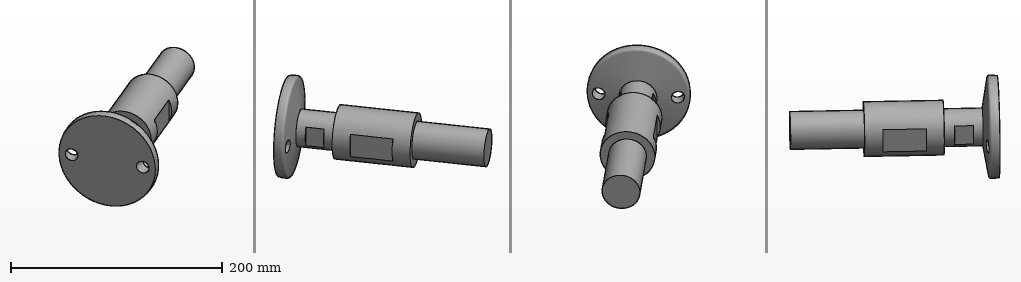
import cadquery as cq
import math

total_length = 197.0
rod_radius = 36.0 / 2
sleeve_radius = 52.0 / 2
foot_radius = 98.0 / 2

taper_height = 4.1
foot_height = 15.0
sleeve_start = 51.8
sleeve_end = 127.3

cone_angle = 10.0
rim_fillet = 2.5
side_taper = 0.5

rod_flat_start = 24.0
rod_flat_length = 17.7
rod_flat_width = 30.0
sleeve_flat_start = 69.0
sleeve_flat_length = 41.0
sleeve_flat_width = 46.0

hole_diameter = 12.5
hole_offset = 35.7
hole_reach = 19.7


def disc(radius, start, end):
    """Cylinder about the Y axis between two distances from the sole."""
    return cq.Workplane("XZ", origin=(0, start, 0)).circle(radius).extrude(start - end)


def flat_cutters(width, start, length):
    """Two boxes that leave parallel flats the given width apart."""
    block = 2 * sleeve_radius
    cutters = cq.Workplane("XY")
    for side in (-1, 1):
        center = (side * (width + block) / 2, start + length / 2, 0)
        cutters = cutters.add(cq.Workplane("XY").box(block, length, block).translate(center))
    return cutters.combine()


def bolt_holes():
    """Two cylinders leaning outward, at right angles to the cone."""
    lean = math.radians(cone_angle)
    holes = cq.Workplane("XY")
    for side in (-1, 1):
        axis = cq.Vector(side * math.sin(lean), math.cos(lean), 0)
        start = cq.Vector(side * hole_offset, 0, 0) - axis * hole_reach
        holes = holes.add(cq.Solid.makeCylinder(hole_diameter / 2, 2 * hole_reach, start, axis))
    return holes.combine()


def make_foot():
    """Conical foot with a rounded rim and a side that tapers in toward the sole."""
    cone_drop = (foot_radius - rod_radius) * math.tan(math.radians(cone_angle))
    rim_top = foot_height - cone_drop
    foot = (
        cq.Workplane("XY")
        .lineTo(foot_radius - side_taper, 0)
        .lineTo(foot_radius, taper_height)
        .lineTo(foot_radius, rim_top)
        .lineTo(rod_radius, foot_height)
        .lineTo(0, foot_height)
        .close()
        .revolve(360, (0, 0, 0), (0, 1, 0))
    )
    rim_edge = cq.selectors.NearestToPointSelector((0, rim_top, 0))
    return foot.edges(rim_edge).fillet(rim_fillet).cut(bolt_holes())


def make_spindle():
    """Foot and rod in one piece, with wrench flats on the rod."""
    rod = disc(rod_radius, foot_height, total_length)
    rod = rod.cut(flat_cutters(rod_flat_width, rod_flat_start, rod_flat_length))
    return make_foot().union(rod)


def make_sleeve():
    """Tube around the rod, with wrench flats at mid length."""
    sleeve = disc(sleeve_radius, sleeve_start, sleeve_end)
    sleeve = sleeve.cut(disc(rod_radius, sleeve_start, sleeve_end))
    return sleeve.cut(flat_cutters(sleeve_flat_width, sleeve_flat_start, sleeve_flat_length))


spindle = make_spindle()
sleeve = make_sleeve()
result = cq.Compound.makeCompound([spindle.val(), sleeve.val()])